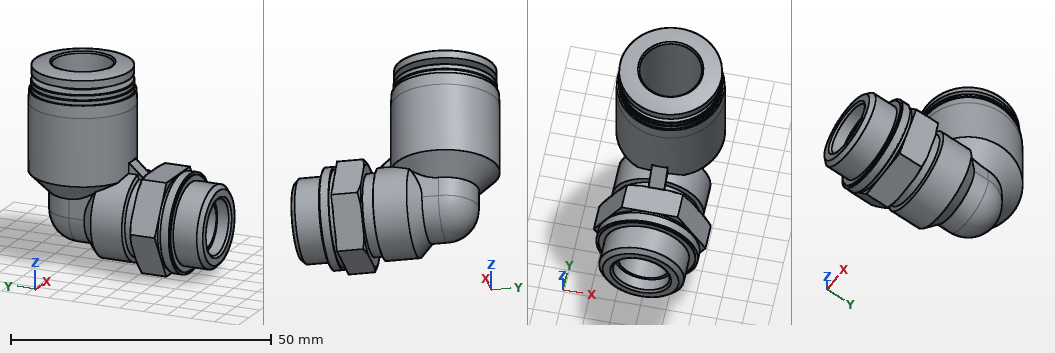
import cadquery as cq
import math


elbow_radius = 6.5
elbow_web_reach = 5.7
passage_radius = 10.0 / 2

sleeve_radius = 21.0 / 2
sleeve_top_radius = 20.75 / 2
sleeve_bottom = 7.75
sleeve_taper_start = 21.68
sleeve_top = 24.15
cap_radius = 20.0 / 2
cap_groove_radius = 19.8 / 2
cap_groove_bottom = 24.97
cap_groove_top = 25.15
cap_top = 26.2
cap_chamfer = 0.15
release_neck_radius = 13.5 / 2
release_flange_radius = 19.8 / 2
release_flange_bottom = 27.47
release_flange_edge = 29.05
release_top = 29.7
dome_rise = 0.45
tube_bore_radius = 12.0 / 2
tube_bore_mouth_radius = 12.62 / 2
tube_bore_floor = sleeve_bottom

swivel_radius = 18.02 / 2
swivel_cone_end = 5.7
swivel_end = 12.55
swivel_shoulder_start = 12.3
stem_radius = 16.2 / 2
hex_across_flats = 19.0
hex_start = 14.57
hex_end = 20.13
hex_chamfer_radius = 19.8 / 2
hex_chamfer_angle = 20
seal_seat_radius = 19.0 / 2
seal_radius = 20.0 / 2
seal_start = 20.9
seal_end = 22.63
seal_seat_end = 22.85
thread_radius = 16.67 / 2
thread_end = 28.7
thread_chamfer = 0.87
outlet_radius = 11.1 / 2
outlet_mouth_radius = 12.0 / 2
outlet_depth = 2.8

rib_width = 3.1
rib_top = 11.0
rib_end = 13.75


def revolve_up(outline):
    """Revolve a closed (radius, height) outline about Z."""
    return cq.Workplane("XZ").polyline(outline).close().revolve(360, (0, 0), (0, 1))


def turn_to_thread(solid):
    """Swing a solid built along +Z onto the -Y axis."""
    return solid.rotate((0, 0, 0), (1, 0, 0), 90)


def make_socket():
    cone_bottom = sleeve_bottom - (sleeve_radius - elbow_radius)
    return revolve_up([
        (0, 0),
        (elbow_radius, 0),
        (elbow_radius, cone_bottom),
        (sleeve_radius, sleeve_bottom),
        (sleeve_radius, sleeve_taper_start),
        (sleeve_top_radius, sleeve_top),
        (cap_radius, sleeve_top),
        (cap_radius, cap_groove_bottom),
        (cap_groove_radius, cap_groove_bottom),
        (cap_groove_radius, cap_groove_top),
        (cap_radius, cap_groove_top),
        (cap_radius, cap_top - cap_chamfer),
        (cap_radius - cap_chamfer, cap_top),
        (release_neck_radius, cap_top),
        (release_neck_radius, release_flange_bottom),
        (0, release_flange_bottom),
    ])


def make_release_ring():
    """Push-to-release flange with a slightly domed top."""
    dome_middle_radius = (release_flange_radius + tube_bore_mouth_radius) / 2
    return (
        cq.Workplane("XZ")
        .moveTo(0, release_flange_bottom)
        .lineTo(release_flange_radius, release_flange_bottom)
        .lineTo(release_flange_radius, release_flange_edge)
        .threePointArc(
            (dome_middle_radius, release_flange_edge + dome_rise),
            (tube_bore_mouth_radius, release_top),
        )
        .lineTo(0, release_top)
        .close()
        .revolve(360, (0, 0), (0, 1))
    )


def make_threaded_end():
    cone_start = swivel_cone_end - (swivel_radius - elbow_radius)
    return turn_to_thread(revolve_up([
        (0, 0),
        (elbow_radius, 0),
        (elbow_radius, cone_start),
        (swivel_radius, swivel_cone_end),
        (swivel_radius, swivel_shoulder_start),
        (stem_radius, swivel_end),
        (stem_radius, hex_end),
        (seal_seat_radius, hex_end),
        (seal_seat_radius, seal_start),
        (seal_radius, seal_start),
        (seal_radius, seal_end),
        (seal_seat_radius, seal_end),
        (seal_seat_radius, seal_seat_end),
        (thread_radius, seal_seat_end),
        (thread_radius, thread_end - thread_chamfer),
        (thread_radius - thread_chamfer, thread_end),
        (0, thread_end),
    ]))


def make_hex():
    """Hexagon with corners at +X and -X, chamfered on the swivel side."""
    corner_radius = hex_across_flats / math.sqrt(3)
    chamfer_drop = (corner_radius - hex_chamfer_radius) * math.tan(math.radians(hex_chamfer_angle))
    prism = (
        cq.Workplane("XY")
        .workplane(offset=hex_start)
        .polygon(6, 2 * corner_radius)
        .extrude(hex_end - hex_start)
    )
    envelope = revolve_up([
        (0, hex_start),
        (hex_chamfer_radius, hex_start),
        (corner_radius, hex_start + chamfer_drop),
        (corner_radius, hex_end),
        (0, hex_end),
    ])
    return turn_to_thread(prism.intersect(envelope))


def make_elbow_web():
    """Flat-sided block filling the inner corner between the two branches."""
    return cq.Workplane("XY").box(
        2 * elbow_radius, elbow_web_reach, elbow_web_reach, centered=(True, False, False)
    ).translate((0, -elbow_web_reach, 0))


def make_rib():
    """Web whose sloping edge joins the sleeve wall to the stem."""
    return (
        cq.Workplane("YZ")
        .polyline([
            (-elbow_radius, elbow_radius),
            (-elbow_radius, rib_top),
            (-sleeve_radius, rib_top),
            (-rib_end, stem_radius),
            (-rib_end, elbow_radius),
        ])
        .close()
        .extrude(rib_width / 2, both=True)
    )


def make_tube_bore():
    mouth_depth = tube_bore_mouth_radius - tube_bore_radius
    return revolve_up([
        (0, 0),
        (passage_radius, 0),
        (passage_radius, tube_bore_floor),
        (tube_bore_radius, tube_bore_floor),
        (tube_bore_radius, release_top - mouth_depth),
        (tube_bore_mouth_radius, release_top),
        (0, release_top),
    ])


def make_outlet_bore():
    mouth_depth = outlet_mouth_radius - outlet_radius
    return turn_to_thread(revolve_up([
        (0, 0),
        (passage_radius, 0),
        (passage_radius, thread_end - outlet_depth),
        (outlet_radius, thread_end - outlet_depth),
        (outlet_radius, thread_end - mouth_depth),
        (outlet_mouth_radius, thread_end),
        (0, thread_end),
    ]))


body = cq.Workplane("XY").sphere(elbow_radius).union(make_elbow_web())
for piece in (make_socket(), make_release_ring(), make_threaded_end(), make_hex(), make_rib()):
    body = body.union(piece)

passage = cq.Workplane("XY").sphere(passage_radius).union(make_tube_bore()).union(make_outlet_bore())
result = body.cut(passage)